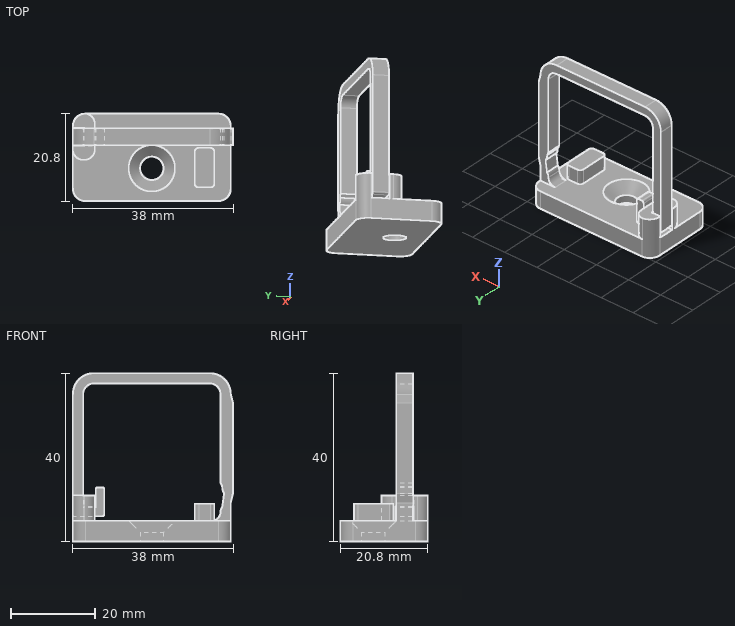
import cadquery as cq

base_length = 37.5
base_width = 20.8
base_height = 5.0
base_corner_radius = 3.0

screw_x = base_length / 2
screw_y = 7.8
screw_diameter = 5.5
countersink_diameter = 11.0
countersink_angle = 90.0

stop_length = 4.7
stop_width = 9.4
stop_height = 4.0
stop_x = 31.25
stop_y = 7.95
stop_corner_radius = 1.0

band_width = 4.0
band_thickness = 2.5
band_y = 15.3
loop_height = 40.0
loop_outer_radius = 5.0
loop_inner_radius = loop_outer_radius - band_thickness
loop_right = 38.03
right_leg_inner = base_length - band_thickness

foot_radius = 2.0
waist_top_x = 35.42
waist_top_z = 8.2
notch_tip_x = 35.87
notch_tip_z = 11.5
notch_lip_x = 35.42
notch_lip_z = 13.1
notch_lip_radius = 2.4
notch_start_z = 14.0

bulge_foot_z = 9.25
bulge_bottom_z = 11.5
bulge_top_z = 33.0

post_length = 5.25
post_width = 11.0
post_height = 6.0
post_end_radius = 2.5
clearance = 0.15

hook_bottom = 6.0
tongue_thickness = 2.2
hook_thickness = 2.1
hook_top = 12.9
hook_edge_radius = 0.5

hook_inner = post_length + clearance
hook_outer = hook_inner + hook_thickness
post_top = base_height + post_height
slot_width = band_width + 2 * clearance
slot_depth = band_thickness + clearance
tongue_top = hook_bottom + tongue_thickness
window_top = tongue_top + clearance


def upright_block(x_min, x_max, y_center, width, z_min, z_max):
    """Box given by its X and Z limits, centred on y_center."""
    return (
        cq.Workplane("XY")
        .box(x_max - x_min, width, z_max - z_min, centered=(False, True, False))
        .translate((x_min, y_center, z_min))
    )


def rounded_plate(height):
    """Plate with the rounded base outline and the given height."""
    plate = cq.Workplane("XY").box(base_length, base_width, height, centered=False)
    return plate.edges("|Z").fillet(base_corner_radius)


def make_base():
    """Base plate with its countersunk through hole."""
    return (
        rounded_plate(base_height)
        .faces(">Z")
        .workplane(origin=(screw_x, screw_y, base_height))
        .cskHole(screw_diameter, countersink_diameter, countersink_angle)
    )


def make_stop():
    """Rounded stop block on top of the base."""
    block = upright_block(
        stop_x - stop_length / 2,
        stop_x + stop_length / 2,
        stop_y,
        stop_width,
        base_height,
        base_height + stop_height,
    )
    return block.edges("|Z").fillet(stop_corner_radius)


def make_post():
    """Post flush with the base corner, slotted for the leg and pierced for the hook."""
    y_center = base_width - post_width / 2
    post = upright_block(0, post_length, y_center, post_width, base_height, post_top)
    post = post.edges("|Z").fillet(post_end_radius).intersect(rounded_plate(post_top))
    slot = upright_block(0, slot_depth, band_y, slot_width, base_height, post_top)
    window = upright_block(0, post_length, band_y, slot_width, base_height, window_top)
    return post.cut(slot).cut(window)


def extrude_band(profile):
    """Extrude an XZ profile to the band width, centred on the band."""
    return profile.extrude(band_width / 2, both=True).translate((0, band_y, 0))


def make_loop():
    """Left leg, top bar and right leg with its thinned hinge foot."""
    top_inner = loop_height - band_thickness
    shoulder = loop_height - loop_outer_radius
    profile = (
        cq.Workplane("XZ")
        .moveTo(0, tongue_top)
        .lineTo(0, shoulder)
        .radiusArc((loop_outer_radius, loop_height), loop_outer_radius)
        .lineTo(base_length - loop_outer_radius, loop_height)
        .radiusArc((base_length, shoulder), loop_outer_radius)
        .lineTo(loop_right, bulge_top_z)
        .lineTo(loop_right, bulge_bottom_z)
        .lineTo(base_length, bulge_foot_z)
        .lineTo(base_length, base_height)
        .lineTo(right_leg_inner - foot_radius, base_height)
        .radiusArc((right_leg_inner, base_height + foot_radius), -foot_radius)
        .radiusArc((waist_top_x, waist_top_z), foot_radius)
        .lineTo(notch_tip_x, notch_tip_z)
        .radiusArc((notch_lip_x, notch_lip_z), notch_lip_radius)
        .lineTo(right_leg_inner, notch_start_z)
        .lineTo(right_leg_inner, shoulder)
        .radiusArc((right_leg_inner - loop_inner_radius, top_inner), -loop_inner_radius)
        .lineTo(loop_outer_radius, top_inner)
        .radiusArc((band_thickness, shoulder), -loop_inner_radius)
        .lineTo(band_thickness, tongue_top)
        .close()
    )
    return extrude_band(profile)


def make_hook():
    """Tongue running through the post window, with an upturned end."""
    tongue = upright_block(0, hook_outer, band_y, band_width, hook_bottom, tongue_top)
    upturn = upright_block(hook_inner, hook_outer, band_y, band_width, hook_bottom, hook_top)
    return tongue.union(upturn).edges("|Y and (<Z or >Z)").fillet(hook_edge_radius)


result = make_base().union(make_stop()).union(make_post()).union(make_loop()).union(make_hook())